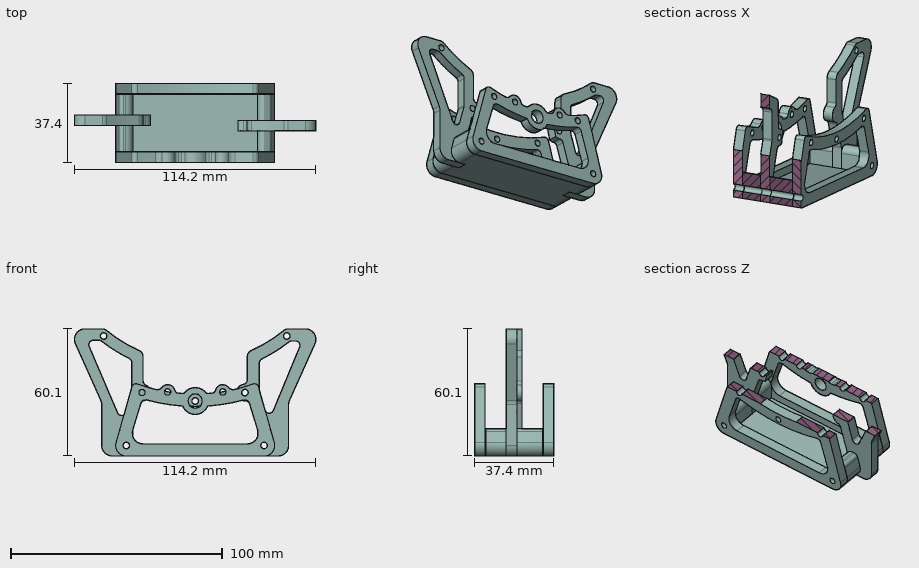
import cadquery as cq
import math

plate_thickness = 5.0
overall_depth = 37.4
tray_depth = 27.0
horn_overlap = 2.5
screw_radius = 1.5
corner_radius = 5.0
small_radius = 2.0

foot_screw_x = 32.5
foot_screw_z = corner_radius
plate_side_lean = 15.7
arc_center_z = 110.3
bar_top_radius = 81.0
bar_bottom_radius = 86.9
window_bottom_z = 5.8
window_foot_x = 33.2
window_side_lean = 17.0
upper_screws = [(-25.1, 30.0), (23.5, 30.0)]
pivot_z = 26.0

center_boss_radius = 6.4
center_bore_radius = 3.3
small_boss_x = 13.0
small_boss_z = 30.2
small_boss_radius = 3.5
boss_outer_foot_radius = 3.0

wall_height = 13.0
wall_inner_x = 29.4
floor_thickness = 2.0
wall_inner_radius = 3.4

horn_height = 60.1
horn_outer_x = 44.2
horn_kink_z = 25.3
horn_tip_x = 59.8
horn_arc_radius = 66.0
neck_x = 24.5
neck_corner_radius = 3.4
crest_radius = 3.0
horn_screw_x = 43.2
horn_screw_z = 56.7
tab_radius = 4.0
screw_mark_depth = 0.1
tab_end_top_x = 20.0
tab_end_bottom_x = 21.6

front_plate_y = -overall_depth / 2
rear_plate_y = overall_depth / 2 - plate_thickness
tray_y = -tray_depth / 2
left_horn_y = -horn_overlap / 2
right_horn_y = horn_overlap / 2 - plate_thickness

plate_side_slope = math.tan(math.radians(plate_side_lean))
window_side_slope = math.tan(math.radians(window_side_lean))

foot_screws = [(-foot_screw_x, foot_screw_z), (foot_screw_x, foot_screw_z)]
plate_foot_x = foot_screw_x + corner_radius * (math.hypot(1, plate_side_slope) + plate_side_slope)


def sketch_plane(y):
    """XZ sketch plane at depth y; a negative extrusion grows toward +Y."""
    return cq.Workplane("XZ", origin=(0, y, 0))


def disc(x, z, radius, y, depth):
    return sketch_plane(y).center(x, z).circle(radius).extrude(-depth)


def fillet_at(body, x, y, z, radius):
    """Round the edge along Y that lies nearest to (x, z)."""
    nearest = cq.selectors.NearestToPointSelector((x, y, z))
    return body.edges("|Y").edges(nearest).fillet(radius)


def arc_z(radius, x):
    """Height of a sagging arc at x."""
    return arc_center_z - math.sqrt(radius**2 - x**2)


def arc_x(radius, z):
    """Half-width of a sagging arc at height z."""
    return math.sqrt(radius**2 - (arc_center_z - z) ** 2)


def side_meets_arc(foot_x, slope, radius):
    """Point where a side leaning in from foot_x at z = 0 crosses a sagging arc."""
    a = slope**2 + 1
    b = foot_x * slope + arc_center_z
    c = foot_x**2 + arc_center_z**2 - radius**2
    z = (b - math.sqrt(b**2 - a * c)) / a
    return foot_x - slope * z, z


def trapezoid(foot_x, slope, bottom_z, arc_radius, y, depth):
    """Symmetric trapezoid whose top edge is a sagging arc."""
    bottom_x = foot_x - slope * bottom_z
    top_x, top_z = side_meets_arc(foot_x, slope, arc_radius)
    body = (
        sketch_plane(y)
        .moveTo(-bottom_x, bottom_z)
        .lineTo(bottom_x, bottom_z)
        .lineTo(top_x, top_z)
        .threePointArc((0, arc_center_z - arc_radius), (-top_x, top_z))
        .close()
        .extrude(-depth)
    )
    for side in (-1, 1):
        body = fillet_at(body, side * bottom_x, y + depth / 2, bottom_z, corner_radius)
        body = fillet_at(body, side * top_x, y + depth / 2, top_z, small_radius)
    return body


def screw_holes(points, y, depth):
    return sketch_plane(y).pushPoints(points).circle(screw_radius).extrude(-depth)


def plate_blank(y):
    return trapezoid(plate_foot_x, plate_side_slope, 0, bar_top_radius, y, plate_thickness)


def plate_window(y):
    return trapezoid(
        window_foot_x, window_side_slope, window_bottom_z, bar_bottom_radius, y, plate_thickness
    )


def make_rear_plate():
    y = rear_plate_y
    screws = foot_screws + upper_screws + [(0, pivot_z)]
    return plate_blank(y).cut(plate_window(y)).cut(screw_holes(screws, y, plate_thickness))


def round_boss_foot(plate, boss_x, boss_z, boss_radius, side, radius):
    """Round the inner corner where a boss rises from the top bar, on the given side of it."""
    rise = arc_center_z - boss_z
    distance = math.hypot(boss_x, rise)
    along = (boss_radius**2 - bar_top_radius**2 + distance**2) / (2 * distance)
    across = side * math.sqrt(boss_radius**2 - along**2)
    x = boss_x + (across * rise - along * boss_x) / distance
    z = boss_z + (along * rise + across * boss_x) / distance
    return fillet_at(plate, x, front_plate_y + plate_thickness / 2, z, radius)


def make_front_plate():
    y = front_plate_y
    plate = plate_blank(y).cut(plate_window(y))
    bosses = [(0, pivot_z, center_boss_radius)]
    bosses += [(side * small_boss_x, small_boss_z, small_boss_radius) for side in (-1, 1)]
    for x, z, radius in bosses:
        plate = plate.union(disc(x, z, radius, y, plate_thickness))
    for x, z, radius in bosses:
        for side in (-1, 1):
            faces_plate_end = side * x > 0
            foot_radius = boss_outer_foot_radius if faces_plate_end else small_radius
            plate = round_boss_foot(plate, x, z, radius, side, foot_radius)
    small_boss_screws = [(x, z) for x, z, radius in bosses[1:]]
    plate = plate.cut(screw_holes(foot_screws + upper_screws + small_boss_screws, y, plate_thickness))
    return plate.cut(disc(0, pivot_z, center_bore_radius, y, plate_thickness))


def make_tray():
    """Shallow tray with the plates' lower outline and a slot in each wall for a horn."""
    top_x = plate_foot_x - plate_side_slope * wall_height
    tray = (
        sketch_plane(tray_y)
        .moveTo(-plate_foot_x, 0)
        .lineTo(plate_foot_x, 0)
        .lineTo(top_x, wall_height)
        .lineTo(wall_inner_x, wall_height)
        .lineTo(wall_inner_x, floor_thickness)
        .lineTo(-wall_inner_x, floor_thickness)
        .lineTo(-wall_inner_x, wall_height)
        .lineTo(-top_x, wall_height)
        .close()
        .extrude(-tray_depth)
    )
    for side in (-1, 1):
        tray = fillet_at(tray, side * plate_foot_x, 0, 0, corner_radius)
        tray = fillet_at(tray, side * top_x, 0, wall_height, small_radius)
        tray = fillet_at(tray, side * wall_inner_x, 0, wall_height, wall_inner_radius)
    tray = tray.cut(screw_holes(foot_screws, tray_y, tray_depth))
    for side, y in ((-1, left_horn_y), (1, right_horn_y)):
        slot_width = plate_foot_x - wall_inner_x
        slot = (
            sketch_plane(y)
            .center(side * (wall_inner_x + slot_width / 2), wall_height / 2)
            .rect(slot_width, wall_height)
            .extrude(-plate_thickness)
        )
        tray = tray.cut(slot)
    return tray


def inner_edge_z(x):
    """Height of the horn's slanted inner edge, which continues the plate window's side."""
    return (window_foot_x - x) / window_side_slope


def curved_edge(sketch, radius, start_x, end_x):
    """Continue a sketch along a sagging arc from start_x to end_x."""
    middle_x = (start_x + end_x) / 2
    return sketch.threePointArc((middle_x, arc_z(radius, middle_x)), (end_x, arc_z(radius, end_x)))


def horn_blank(y, tab_x, tab_z):
    crest_x = arc_x(horn_arc_radius, horn_height)
    sketch = (
        sketch_plane(y)
        .moveTo(wall_inner_x, 0)
        .lineTo(horn_outer_x, 0)
        .lineTo(horn_outer_x, horn_kink_z)
        .lineTo(horn_tip_x, horn_height)
        .lineTo(crest_x, horn_height)
    )
    horn = (
        curved_edge(sketch, horn_arc_radius, crest_x, neck_x)
        .lineTo(neck_x, inner_edge_z(neck_x))
        .lineTo(wall_inner_x, inner_edge_z(wall_inner_x))
        .close()
        .extrude(-plate_thickness)
        .union(disc(tab_x, tab_z, tab_radius, y, plate_thickness))
    )
    tab_top_z = tab_z + math.sqrt(tab_radius**2 - (neck_x - tab_x) ** 2)
    tab_bottom_z = tab_z - tab_radius
    rounded_corners = [
        (horn_outer_x, 0, corner_radius),
        (horn_outer_x, horn_kink_z, corner_radius),
        (horn_tip_x, horn_height, corner_radius),
        (crest_x, horn_height, crest_radius),
        (neck_x, arc_z(horn_arc_radius, neck_x), neck_corner_radius),
        (neck_x, tab_top_z, small_radius),
        (window_foot_x - window_side_slope * tab_bottom_z, tab_bottom_z, small_radius),
    ]
    for x, z, radius in rounded_corners:
        horn = fillet_at(horn, x, y + plate_thickness / 2, z, radius)
    return horn


def horn_window(y, frame_width, top_outer_x, kink_z, tip):
    """Window through a horn, tapering to a tip at the bottom."""
    top_z = horn_height - frame_width
    inner_x = neck_x + frame_width
    arc_radius = horn_arc_radius + frame_width
    sketch = (
        sketch_plane(y)
        .moveTo(*tip)
        .lineTo(top_outer_x, top_z)
        .lineTo(arc_x(arc_radius, top_z), top_z)
    )
    return (
        curved_edge(sketch, arc_radius, arc_x(arc_radius, top_z), inner_x)
        .lineTo(inner_x, kink_z)
        .close()
        .extrude(-plate_thickness)
        .edges("|Y")
        .fillet(small_radius)
    )


def make_horn(y, tab, window):
    horn_screws = [(foot_screw_x, foot_screw_z), (horn_screw_x, horn_screw_z)]
    return horn_blank(y, *tab).cut(window).cut(screw_holes(horn_screws, y, plate_thickness))


def make_left_horn():
    """Horn with a full round tab that carries only a shallow screw mark."""
    y = left_horn_y
    tab_x, tab_z = -upper_screws[0][0], upper_screws[0][1]
    window = horn_window(y, frame_width=5.5, top_outer_x=51.2, kink_z=30.0, tip=(34.3, 15.2))
    horn = make_horn(y, (tab_x, tab_z), window)
    horn = horn.cut(disc(tab_x, tab_z, screw_radius, y, screw_mark_depth))
    return horn.mirror("YZ")


def make_right_horn():
    """Horn with a drilled tab whose end is cut off flat."""
    y = right_horn_y
    tab_x, tab_z = upper_screws[1]
    window = horn_window(y, frame_width=5.8, top_outer_x=50.4, kink_z=30.2, tip=(34.7, 16.3))
    horn = make_horn(y, (tab_x, tab_z), window)
    horn = horn.cut(screw_holes([(tab_x, tab_z)], y, plate_thickness))
    tab_end = (
        sketch_plane(y)
        .polyline([
            (tab_end_top_x, tab_z + tab_radius),
            (tab_end_bottom_x, tab_z - tab_radius),
            (tab_x - tab_radius, tab_z - tab_radius),
            (tab_x - tab_radius, tab_z + tab_radius),
        ])
        .close()
        .extrude(-plate_thickness)
    )
    return horn.cut(tab_end)


front_plate = make_front_plate()
rear_plate = make_rear_plate()
tray = make_tray()
left_horn = make_left_horn()
right_horn = make_right_horn()

result = cq.Compound.makeCompound([
    front_plate.val(),
    rear_plate.val(),
    tray.val(),
    left_horn.val(),
    right_horn.val(),
])